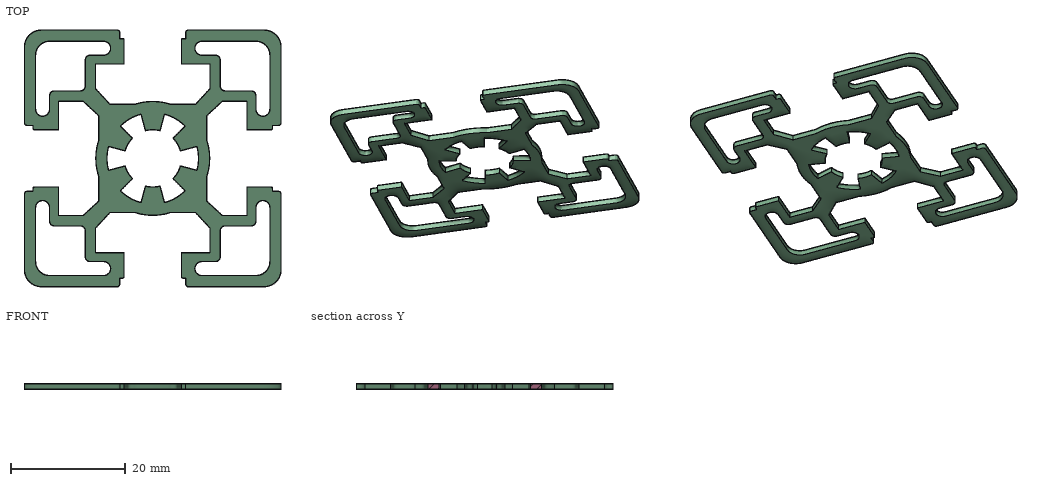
import cadquery as cq
import math

side = 45.0
thickness = 1.0
half_side = side / 2
corner_radius = 3.0

mouth_half_width = 5.0
lip_step_half_width = 5.75
lip_step_depth = 1.5
lip_outer_edge_radius = 0.5
lip_step_edge_radius = 0.3
lip_depth = 6.0
cavity_half_width = 10.0
cavity_wall_end = 12.2
floor_half_width = 7.5
floor_distance = 9.5

pocket_wall = 2.0
pocket_arm_width = 2.4
pocket_arm_end = 7.4
pocket_inner = 11.85
pocket_corner_radius = 2.4
pocket_shoulder_radius = 0.9
pocket_inner_radius = 0.8

core_radius = 10.0
bore_radius = 8.0
tooth_tip_radius = 5.0
tooth_count = 6
tooth_half_angle = math.radians(15)
first_tooth_angle = 90

quarter_turns = [90 * i for i in range(4)]


def turned(shape, angle):
    """Shape rotated about the Z axis."""
    return shape.rotate((0, 0, 0), (0, 0, 1), angle)


def fillet_upright_edge(body, x, y, radius):
    """Round the vertical edge that stands at (x, y)."""
    edge = body.edges("|Z").edges(cq.NearestToPointSelector((x, y, thickness / 2)))
    return edge.fillet(radius)


def make_blank():
    blank = cq.Workplane("XY").rect(side, side).extrude(thickness)
    return blank.edges("|Z").fillet(corner_radius)


def make_slot():
    """Cutter for the slot that opens on the +Y side."""
    step_y = half_side - lip_step_depth
    cavity_y = half_side - lip_depth
    right_side = [
        (lip_step_half_width, half_side),
        (lip_step_half_width, step_y),
        (mouth_half_width, step_y),
        (mouth_half_width, cavity_y),
        (cavity_half_width, cavity_y),
        (cavity_half_width, cavity_wall_end),
        (floor_half_width, floor_distance),
    ]
    left_side = [(-x, y) for x, y in reversed(right_side)]
    return cq.Workplane("XY").polyline(right_side + left_side).close().extrude(thickness)


def round_lips(body):
    """Round the two outward edges of every slot lip."""
    lip_edges = [
        (lip_step_half_width, half_side, lip_outer_edge_radius),
        (mouth_half_width, half_side - lip_step_depth, lip_step_edge_radius),
    ]
    for angle in quarter_turns:
        body = turned(body, angle)
        for x, y, radius in lip_edges:
            for sign in (-1, 1):
                body = fillet_upright_edge(body, sign * x, y, radius)
        body = turned(body, -angle)
    return body


def make_pocket():
    """Cutter for the pocket in the +X +Y corner."""
    outer = half_side - pocket_wall
    shoulder = outer - pocket_arm_width
    end_radius = pocket_arm_width / 2
    arm_start = pocket_arm_end + end_radius
    pocket = (
        cq.Workplane("XY")
        .moveTo(arm_start, outer)
        .lineTo(outer, outer)
        .lineTo(outer, arm_start)
        .threePointArc((outer - end_radius, pocket_arm_end), (shoulder, arm_start))
        .lineTo(shoulder, pocket_inner)
        .lineTo(pocket_inner, pocket_inner)
        .lineTo(pocket_inner, shoulder)
        .lineTo(arm_start, shoulder)
        .threePointArc((pocket_arm_end, outer - end_radius), (arm_start, outer))
        .close()
        .extrude(thickness)
    )
    pocket = fillet_upright_edge(pocket, outer, outer, pocket_corner_radius)
    pocket = fillet_upright_edge(pocket, shoulder, pocket_inner, pocket_shoulder_radius)
    pocket = fillet_upright_edge(pocket, pocket_inner, shoulder, pocket_shoulder_radius)
    return fillet_upright_edge(pocket, pocket_inner, pocket_inner, pocket_inner_radius)


def make_toothed_bore():
    """Cutter for the bore, leaving radial teeth that point at the centre."""
    bore = cq.Workplane("XY").circle(bore_radius).extrude(thickness)
    sector_length = core_radius
    sector_half_width = sector_length * math.tan(tooth_half_angle)
    sector = (
        cq.Workplane("XY")
        .polyline([(0, 0), (sector_length, -sector_half_width), (sector_length, sector_half_width)])
        .close()
        .extrude(thickness)
    )
    for i in range(tooth_count):
        bore = bore.cut(turned(sector, first_tooth_angle + i * 360 / tooth_count))
    return bore.union(cq.Workplane("XY").circle(tooth_tip_radius).extrude(thickness))


result = make_blank()
slot = make_slot()
pocket = make_pocket()
for angle in quarter_turns:
    result = result.cut(turned(slot, angle)).cut(turned(pocket, angle))
result = round_lips(result)
result = result.union(cq.Workplane("XY").circle(core_radius).extrude(thickness))
result = result.cut(make_toothed_bore())